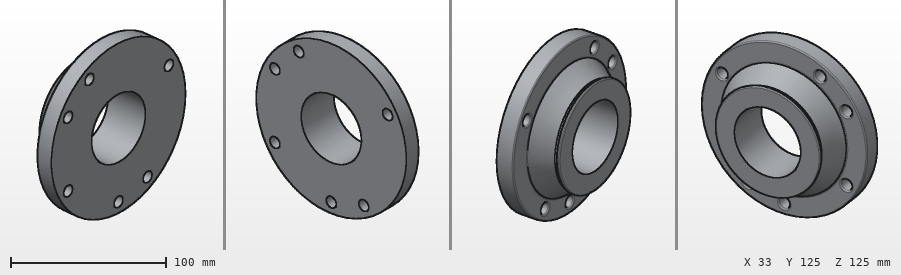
import cadquery as cq
import math

total_length = 33.0
flange_face_x = 20.0
lip_width = 2.4
neck_end_x = 4.2

flange_radius = 62.5
bore_radius = 25.0
lip_radius = 39.5
neck_radius = 38.4
flare_mid_radius = 42.2
flare_end_radius = 47.5

flange_fillet = 0.9
lip_fillet = 0.8
lip_root_fillet = lip_radius - neck_radius - lip_fillet
flare_root_fillet = 1.0

bolt_hole_radius = 4.1
bolt_circle_radius = 54.1
bolt_mouth_fillet = 1.0
bolt_angles = [-120, -90, -30, 30, 60, 150]

tolerance = 0.01


def make_body():
    """Revolve the flange, flared hub and lip about the X axis."""
    flare_mid_x = (neck_end_x + flange_face_x) / 2
    profile = (
        cq.Workplane("XY")
        .moveTo(0, bore_radius)
        .lineTo(0, lip_radius - lip_fillet)
        .tangentArcPoint((lip_fillet, lip_radius), relative=False)
        .lineTo(lip_width - lip_fillet, lip_radius)
        .tangentArcPoint((lip_width, lip_radius - lip_fillet), relative=False)
        .tangentArcPoint((lip_width + lip_root_fillet, neck_radius), relative=False)
        .lineTo(neck_end_x, neck_radius)
        .threePointArc((flare_mid_x, flare_mid_radius), (flange_face_x, flare_end_radius))
        .lineTo(flange_face_x, flange_radius - flange_fillet)
        .tangentArcPoint((flange_face_x + flange_fillet, flange_radius), relative=False)
        .lineTo(total_length, flange_radius)
        .lineTo(total_length, bore_radius)
        .close()
    )
    return profile.revolve(360, (0, 0, 0), (1, 0, 0))


def is_flare_root(edge):
    """True for the circle where the flare meets the flange face."""
    at_face = abs(edge.Center().x - flange_face_x) < tolerance
    return at_face and abs(edge.radius() - flare_end_radius) < tolerance


def round_flare_root(body):
    """Blend the flare into the flange face."""
    return body.edges("%CIRCLE").filter(is_flare_root).fillet(flare_root_fillet)


def cut_bolt_hole(body, angle):
    """Cut a through hole and round its mouth on the hub side of the flange."""
    y = -bolt_circle_radius * math.cos(math.radians(angle))
    z = bolt_circle_radius * math.sin(math.radians(angle))
    hole = (
        cq.Workplane("YZ", origin=(flange_face_x, y, z))
        .circle(bolt_hole_radius)
        .extrude(total_length - flange_face_x)
    )
    mouth_edge = cq.selectors.NearestToPointSelector((flange_face_x, y, z))
    return body.cut(hole).edges(mouth_edge).fillet(bolt_mouth_fillet)


result = round_flare_root(make_body())
for bolt_angle in bolt_angles:
    result = cut_bolt_hole(result, bolt_angle)